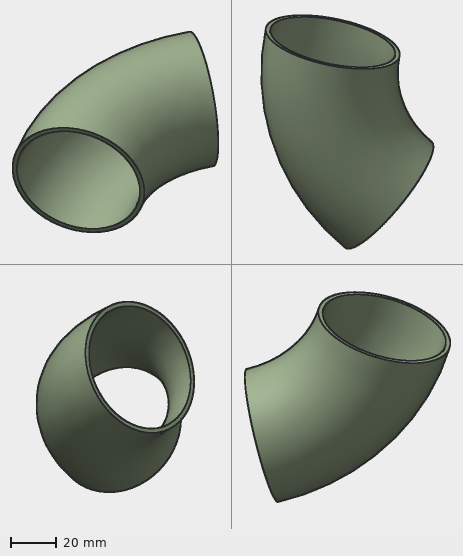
import cadquery as cq

outer_diameter = 60.3
wall = 2.0
bend_radius = 76.0
bend_angle = 60

outer_radius = outer_diameter / 2
inner_radius = outer_radius - wall
axis_start = (bend_radius, 0, 0)
axis_end = (bend_radius, -1, 0)

ring = cq.Workplane("XZ").circle(outer_radius).circle(inner_radius)
result = ring.revolve(bend_angle, axis_start, axis_end)